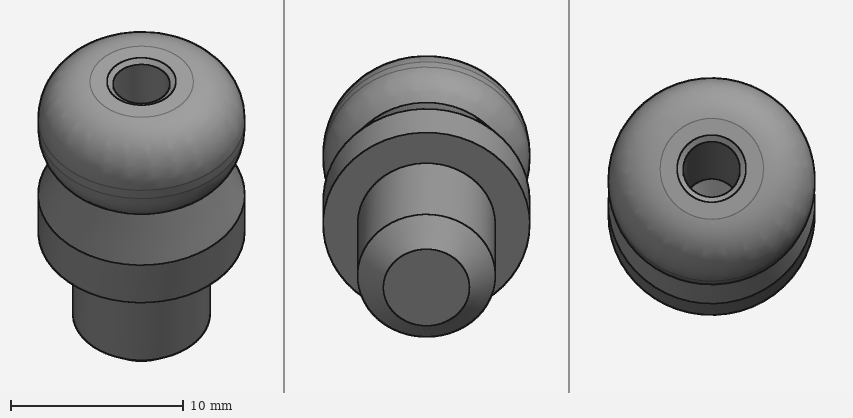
import cadquery as cq
import math

shank_radius = 4.0
shank_length = 8.0
shank_chamfer = 1.5

body_radius = 6.0
collar_height = 3.0
taper_height = 3.0
neck_radius = 4.875

head_height = 6.0
head_round = 3.0

hole_radius = 1.65
hole_mouth_radius = 2.0
hole_mouth_angle = 120.0
hole_depth = 10.0
drill_point_angle = 118.0

collar_top = shank_length + collar_height
neck_level = collar_top + taper_height
top_level = neck_level + head_height

round_center_radius = body_radius - head_round
upper_center_level = top_level - head_round
lower_center_level = neck_level + math.sqrt(head_round**2 - (neck_radius - round_center_radius) ** 2)
neck_arc_angle = math.asin((lower_center_level - neck_level) / head_round)


def round_point(center_level, angle):
    """Point on a head round, with the angle in radians above horizontal."""
    radius = round_center_radius + head_round * math.cos(angle)
    return (radius, center_level + head_round * math.sin(angle))


def revolve_about_z(profile):
    """Turn a closed XZ profile around the Z axis."""
    return profile.close().revolve(360, (0, 0, 0), (0, 1, 0))


def make_body():
    """Solid of revolution: shank, collar, taper and rounded head."""
    profile = (
        cq.Workplane("XZ")
        .lineTo(shank_radius - shank_chamfer, 0)
        .lineTo(shank_radius, shank_chamfer)
        .lineTo(shank_radius, shank_length)
        .lineTo(body_radius, shank_length)
        .lineTo(body_radius, collar_top)
        .lineTo(neck_radius, neck_level)
        .threePointArc(
            round_point(lower_center_level, -neck_arc_angle / 2),
            (body_radius, lower_center_level),
        )
        .lineTo(body_radius, upper_center_level)
        .threePointArc(
            round_point(upper_center_level, math.pi / 4),
            (round_center_radius, top_level),
        )
        .lineTo(0, top_level)
    )
    return revolve_about_z(profile)


def make_hole():
    """Blind hole with a countersunk mouth and a conical drill point."""
    mouth_depth = (hole_mouth_radius - hole_radius) / math.tan(math.radians(hole_mouth_angle / 2))
    point_length = hole_radius / math.tan(math.radians(drill_point_angle / 2))
    floor_level = top_level - hole_depth
    profile = (
        cq.Workplane("XZ")
        .moveTo(0, top_level)
        .lineTo(hole_mouth_radius, top_level)
        .lineTo(hole_radius, top_level - mouth_depth)
        .lineTo(hole_radius, floor_level)
        .lineTo(0, floor_level - point_length)
    )
    return revolve_about_z(profile)


result = make_body().cut(make_hole())